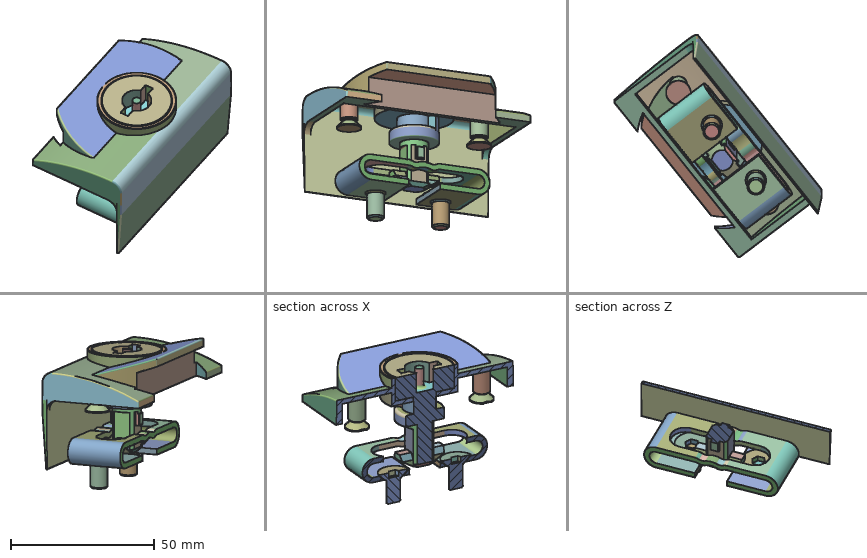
import cadquery as cq
import math


cover_front_x = -20.45
cover_back_x = 16.55
cover_half_width = 35.5
front_edge_height = 2.5
cover_top_z = 9.95
back_corner_radius = 3.9
edge_round = 0.5
wall = 1.9
end_wall = 2.5
end_draft = 0.6

skirt_bottom_z = -24.65
skirt_taper_start_z = -4.6
skirt_bottom_thickness = 0.6
gusset_radius = 3.7

nose_radius = 28.55
nose_top_z = 15.05
nose_lip_thickness = 3.05
nose_lip_root_z = 10.15
nose_end_x = 0.5
nose_wall_x = -14.85
slit_width = 1.4

collar_diameter = 27.7
collar_top_z = 13.05
collar_chamfer = 0.2
knob_seat_z = 4.25
boss_diameter = 6.2
boss_bottom_z = -1.35
boss_chamfer = 0.2
boss_y = 25.0

knob_diameter = 24.8
knob_chamfer = 0.3
neck_diameter = 12.0
key_recess_diameter = 10.2
key_recess_depth = 7.45
key_slot_width = 3.05
key_slot_length = 16.05
key_post_diameter = 3.0
key_post_fillet = 1.1
flange_diameter = 17.55
flange_top_z = -2.2
flange_bottom_z = -6.7
flange_top_round = 1.0
flange_bottom_round = 0.35
stop_width = 3.0
stop_angle = 225.0
shaft_diameter = 10.1
shaft_flats = 8.2
shaft_flats_top_z = -8.6
shaft_flats_fillet = 0.3
shaft_bottom_z = -21.8
ear_width = 3.05
ear_span = 11.1
ear_top_z = -9.4
ear_bottom_z = -13.55
ear_chamfer = 0.3
lock_length = 17.75
lock_half_width = 3.0
lock_top_z = -17.9
lock_shoulder_z = -20.15
lock_tip_z = -23.35
lock_tip_diameter = 7.4
lock_ramp_width = 1.4

clip_front_x = -8.7
clip_back_x = 11.3
clip_top_z = -15.75
clip_height = 9.2
clip_length = 50.2
clip_thickness = 2.05
clip_gap = 12.1
wave_half_length = 5.8
wave_shoulder_y = 4.4
wave_shoulder_depth = 0.4
wave_valley_y = 3.3
wave_depth = 0.65
wave_crest_half_length = 2.05
wave_crest_drop = 0.35
clip_slot_width = 10.65
clip_slot_length = 36.8

clip_screw_x = 5.05
clip_screw_y = 12.5
clip_screw_diameter = 6.1
clip_screw_head_diameter = 12.2
clip_screw_head_rise = 0.4
clip_screw_bottom_z = -34.4
clip_screw_tip_chamfer = 0.6
hex_across_flats = 4.3
hex_depth = 2.0

cover_screw_diameter = 4.3
cover_screw_head_diameter = 8.6
cover_screw_rim = 0.4
cover_screw_head_bottom_z = -4.4
cover_screw_top_z = 4.25

margin = 0.7
tiny = 0.1

arc_end_x = cover_back_x - back_corner_radius
arc_run = arc_end_x - cover_front_x
arc_drop = cover_top_z - front_edge_height
roof_radius = (arc_run**2 + arc_drop**2) / (2 * arc_drop)
roof_center_z = cover_top_z - roof_radius
skirt_inner_x = cover_back_x - wall
collar_bottom_z = knob_seat_z - wall
stop_bottom_z = flange_top_z - flange_top_round
clip_bottom_z = clip_top_z - clip_height
clip_screw_top_z = clip_bottom_z + clip_thickness + clip_screw_head_rise


def roof_z(x, inset=0.0):
    """Height of the arched roof at x, moved inwards by inset."""
    return roof_center_z + math.sqrt((roof_radius - inset) ** 2 - (x - arc_end_x) ** 2)


def cylinder(diameter, bottom_z, top_z, x=0.0, y=0.0):
    """Upright cylinder between two heights."""
    disc = cq.Workplane("XY", origin=(x, y, bottom_z)).circle(diameter / 2)
    return disc.extrude(top_z - bottom_z)


def block(x_min, x_max, y_min, y_max, z_min, z_max):
    """Box between its limits on each axis."""
    size = (x_max - x_min, y_max - y_min, z_max - z_min)
    return cq.Workplane("XY").box(*size, centered=False).translate((x_min, y_min, z_min))


def roof_outline(front_x, back_x, bottom_z, inset):
    """XZ outline under the arched roof, with the rounded back corner, down to bottom_z."""
    corner = back_corner_radius - inset
    top_z = cover_top_z - inset
    middle_x = (front_x + arc_end_x) / 2
    diagonal = corner * math.sqrt(0.5)
    corner_middle = (arc_end_x + diagonal, top_z - corner + diagonal)
    return (
        cq.Workplane("XZ")
        .moveTo(front_x, bottom_z)
        .lineTo(front_x, roof_z(front_x, inset))
        .threePointArc((middle_x, roof_z(middle_x, inset)), (arc_end_x, top_z))
        .threePointArc(corner_middle, (back_x, top_z - corner))
    )


def mirrored_pair(shape):
    """A shape together with its mirror image across the XZ plane."""
    return shape.union(shape.mirror("XZ"))


def drafted_envelope():
    """Block across the whole cover with its end faces drafted away from the rim level."""
    slope = math.tan(math.radians(end_draft))
    top_half_width = cover_half_width - slope * nose_top_z
    bottom_half_width = cover_half_width + slope * skirt_bottom_z
    return (
        cq.Workplane("YZ")
        .polyline([
            (-top_half_width, nose_top_z),
            (top_half_width, nose_top_z),
            (cover_half_width, 0),
            (bottom_half_width, skirt_bottom_z),
            (-bottom_half_width, skirt_bottom_z),
            (-cover_half_width, 0),
        ])
        .close()
        .extrude(cover_back_x - cover_front_x, both=True)
    )


def rounded_edges():
    """Selector for the upper front edge and the outer edges of the two ends."""
    box = cq.selectors.BoxSelector
    front_x = cover_front_x - margin
    back_x = cover_back_x + margin
    skirt_middle_x = (skirt_inner_x + cover_back_x) / 2
    y_out = cover_half_width + margin
    y_in = cover_half_width - end_wall
    selector = box((front_x, -margin, tiny), (cover_front_x + margin, margin, cover_top_z))
    for y_low, y_high in ((-y_out, -y_in), (y_in, y_out)):
        above_rim = box((front_x, y_low, tiny), (back_x, y_high, cover_top_z))
        down_skirt = box((skirt_middle_x + tiny, y_low, skirt_bottom_z), (back_x, y_high, -tiny))
        selector = selector + above_rim + down_skirt
    return selector


def cover_shell():
    """Arched roof and tapering skirt, hollowed from below between the end walls."""
    shell = (
        roof_outline(cover_front_x, cover_back_x, 0, 0)
        .lineTo(cover_back_x, skirt_taper_start_z)
        .lineTo(skirt_inner_x + skirt_bottom_thickness, skirt_bottom_z)
        .lineTo(skirt_inner_x, skirt_bottom_z)
        .lineTo(skirt_inner_x, 0)
        .close()
        .extrude(cover_half_width, both=True)
    )
    shell = shell.intersect(drafted_envelope())
    shell = shell.edges(rounded_edges()).fillet(edge_round)
    cavity = (
        roof_outline(nose_wall_x + wall, skirt_inner_x, 0, wall)
        .lineTo(skirt_inner_x, 0)
        .close()
        .extrude(cover_half_width - end_wall, both=True)
    )
    return shell.cut(cavity)


def skirt_gusset():
    """Concave gusset between an end wall and the skirt."""
    start_x = skirt_inner_x - gusset_radius
    diagonal = gusset_radius * math.sqrt(0.5)
    return (
        cq.Workplane("XZ", origin=(0, -cover_half_width + end_wall, 0))
        .moveTo(start_x, 0)
        .threePointArc((start_x + diagonal, diagonal - gusset_radius), (skirt_inner_x, -gusset_radius))
        .lineTo(skirt_inner_x, 0)
        .close()
        .extrude(end_wall)
    )


def nose():
    """Flat sloping top with a circular outline, overhanging its front wall as a lip."""
    slope = (roof_z(nose_end_x) - nose_top_z) / (nose_end_x - cover_front_x)
    lip_bottom_z = nose_top_z - nose_lip_thickness
    side_profile = (
        cq.Workplane("XZ")
        .moveTo(cover_front_x, nose_top_z)
        .lineTo(cover_front_x, lip_bottom_z)
        .lineTo(nose_wall_x, nose_lip_root_z)
        .lineTo(nose_wall_x, roof_z(nose_wall_x) - wall)
        .lineTo(nose_end_x, roof_z(nose_end_x) - wall)
        .lineTo(nose_end_x, roof_z(nose_end_x))
        .close()
        .extrude(nose_radius, both=True)
    )
    body = side_profile.intersect(cylinder(2 * nose_radius, 0, nose_top_z))
    top_face = cq.selectors.DirectionMinMaxSelector(cq.Vector(-slope, 0, 1), True)
    corners = body.edges("<X").edges("|Z")
    return body.faces(top_face).edges("not >X").add(corners).fillet(edge_round)


def make_cover():
    opening = cylinder(2 * (nose_radius + slit_width), -margin, nose_top_z)
    ahead_of_wall = block(
        cover_front_x - margin, nose_wall_x, -cover_half_width, cover_half_width, -margin, nose_top_z
    )
    cover = cover_shell().cut(opening.intersect(ahead_of_wall))
    cover = cover.union(mirrored_pair(skirt_gusset())).union(nose())

    collar = cylinder(collar_diameter, collar_bottom_z, collar_top_z)
    cover = cover.union(collar.faces(">Z").edges().chamfer(collar_chamfer))
    cover = cover.cut(cylinder(knob_diameter, knob_seat_z, nose_top_z))
    cover = cover.cut(cylinder(neck_diameter, 0, nose_top_z))

    for y in (-boss_y, boss_y):
        boss = cylinder(boss_diameter, boss_bottom_z, roof_z(0) - wall / 2, y=y)
        cover = cover.union(boss.faces("<Z").edges().chamfer(boss_chamfer))
        cover = cover.cut(cylinder(cover_screw_diameter, boss_bottom_z, cover_screw_top_z, y=y))
    return cover


def key_recess():
    """Round recess with two slots, leaving a post on the axis."""
    floor_z = collar_top_z - key_recess_depth
    post_radius = key_post_diameter / 2
    recess = (
        cq.Workplane("XZ")
        .moveTo(post_radius, collar_top_z)
        .lineTo(post_radius, floor_z + key_post_fillet)
        .radiusArc((post_radius + key_post_fillet, floor_z), -key_post_fillet)
        .lineTo(key_recess_diameter / 2, floor_z)
        .lineTo(key_recess_diameter / 2, collar_top_z)
        .close()
        .revolve(360, (0, 0, 0), (0, 1, 0))
    )
    slots = block(
        -key_slot_width / 2, key_slot_width / 2,
        -key_slot_length / 2, key_slot_length / 2,
        floor_z, collar_top_z,
    )
    return recess.union(slots.cut(cylinder(key_recess_diameter, floor_z, collar_top_z)))


def stop_tab():
    """Radial stop standing on the flange."""
    tab = block(0, flange_diameter, -stop_width / 2, stop_width / 2, stop_bottom_z, collar_bottom_z)
    tab = tab.rotate((0, 0, 0), (0, 0, 1), stop_angle)
    return tab.intersect(cylinder(flange_diameter, stop_bottom_z, collar_bottom_z))


def shaft():
    """Round shaft with four flats and an ear on the two X sides."""
    flat_half = shaft_flats / 2
    round_part = cylinder(shaft_diameter, shaft_flats_top_z, flange_bottom_z)
    flatted_part = cylinder(shaft_diameter, shaft_bottom_z, shaft_flats_top_z).intersect(
        block(-flat_half, flat_half, -flat_half, flat_half, shaft_bottom_z, shaft_flats_top_z)
    )
    ear_half = ear_width / 2
    ear_roots = cylinder(shaft_diameter, ear_top_z, shaft_flats_top_z).intersect(
        block(-ear_span / 2, ear_span / 2, -ear_half, ear_half, ear_top_z, shaft_flats_top_z)
    )
    ears = block(-ear_span / 2, ear_span / 2, -ear_half, ear_half, ear_bottom_z, ear_top_z)
    ears = ears.faces("<X or >X").edges("|Z or <Z").chamfer(ear_chamfer)
    core = round_part.union(flatted_part)
    at_shoulder = cq.selectors.BoxSelector(
        (-flat_half - tiny, -flat_half - tiny, shaft_flats_top_z - tiny),
        (flat_half + tiny, flat_half + tiny, shaft_flats_top_z + tiny),
    )
    core = core.edges(at_shoulder).edges("%LINE").fillet(shaft_flats_fillet)
    return core.union(ear_roots).union(ears)


def lock_bar():
    """Cross bar at the shaft's end, tapering downwards and ramped along its upper edges."""
    turned = (
        cq.Workplane("XZ")
        .moveTo(0, lock_top_z)
        .lineTo(lock_length / 2, lock_top_z)
        .lineTo(lock_length / 2, lock_shoulder_z)
        .lineTo(lock_tip_diameter / 2, lock_tip_z)
        .lineTo(0, lock_tip_z)
        .close()
        .revolve(360, (0, 0, 0), (0, 1, 0))
    )
    flat_half = shaft_flats / 2
    ridge_half = lock_half_width - lock_ramp_width
    bar_section = (
        cq.Workplane("XZ")
        .polyline([
            (-ridge_half, lock_top_z),
            (ridge_half, lock_top_z),
            (lock_half_width, lock_shoulder_z),
            (lock_half_width, lock_tip_z),
            (-lock_half_width, lock_tip_z),
            (-lock_half_width, lock_shoulder_z),
        ])
        .close()
        .extrude(lock_length, both=True)
    )
    tip = (
        cq.Workplane("XY", origin=(0, 0, shaft_bottom_z))
        .rect(2 * flat_half, 2 * flat_half)
        .workplane(offset=lock_tip_z - shaft_bottom_z)
        .rect(2 * lock_half_width, 2 * flat_half)
        .loft()
    )
    return turned.intersect(bar_section.union(tip))


def make_knob():
    head = cylinder(knob_diameter, knob_seat_z, collar_top_z).faces(">Z").edges().chamfer(knob_chamfer)
    neck = cylinder(neck_diameter, flange_top_z, knob_seat_z)
    flange = cylinder(flange_diameter, flange_bottom_z, flange_top_z)
    flange = flange.faces(">Z").edges().fillet(flange_top_round)
    flange = flange.faces("<Z").edges().fillet(flange_bottom_round)
    knob = head.union(neck).union(flange).cut(key_recess())
    return knob.union(stop_tab()).union(shaft()).union(lock_bar())


def add_wave(outline, z, direction):
    """Add a crest between two valleys to an outline that runs along Y at height z."""
    shoulder_middle = ((wave_half_length + wave_shoulder_y) / 2, z - wave_shoulder_depth / 3)
    shoulder_end = (wave_shoulder_y, z - wave_shoulder_depth)
    valley = (wave_valley_y, z - wave_depth)
    crest_start = (wave_crest_half_length, z - wave_crest_drop)
    crest = (0, z)
    end = (wave_half_length, z)

    def before(point):
        return (-direction * point[0], point[1])

    def after(point):
        return (direction * point[0], point[1])

    return (
        outline.threePointArc(before(shoulder_middle), before(shoulder_end))
        .threePointArc(before(valley), before(crest_start))
        .threePointArc(crest, after(crest_start))
        .threePointArc(after(valley), after(shoulder_end))
        .threePointArc(after(shoulder_middle), after(end))
    )


def clip_strip_outline():
    """YZ outline of the strip bent into a flat C that is open at the bottom."""
    outer_radius = clip_height / 2
    inner_radius = outer_radius - clip_thickness
    bend_y = clip_length / 2 - outer_radius
    middle_z = clip_top_z - outer_radius
    inner_top_z = clip_top_z - clip_thickness
    inner_bottom_z = clip_bottom_z + clip_thickness
    gap_y = clip_gap / 2
    outline = (
        cq.Workplane("YZ", origin=(clip_front_x, 0, 0))
        .moveTo(-gap_y, clip_bottom_z)
        .lineTo(-bend_y, clip_bottom_z)
        .threePointArc((-bend_y - outer_radius, middle_z), (-bend_y, clip_top_z))
        .lineTo(-wave_half_length, clip_top_z)
    )
    outline = add_wave(outline, clip_top_z, 1)
    outline = (
        outline.lineTo(bend_y, clip_top_z)
        .threePointArc((bend_y + outer_radius, middle_z), (bend_y, clip_bottom_z))
        .lineTo(gap_y, clip_bottom_z)
        .lineTo(gap_y, inner_bottom_z)
        .lineTo(bend_y, inner_bottom_z)
        .threePointArc((bend_y + inner_radius, middle_z), (bend_y, inner_top_z))
        .lineTo(wave_half_length, inner_top_z)
    )
    outline = add_wave(outline, inner_top_z, -1)
    return (
        outline.lineTo(-bend_y, inner_top_z)
        .threePointArc((-bend_y - inner_radius, middle_z), (-bend_y, inner_bottom_z))
        .lineTo(-gap_y, inner_bottom_z)
        .close()
    )


def make_clip():
    clip = clip_strip_outline().extrude(clip_back_x - clip_front_x)
    slot = (
        cq.Workplane("XY", origin=(0, 0, clip_top_z))
        .slot2D(clip_slot_length, clip_slot_width, 90)
        .extrude(-clip_height / 2)
    )
    clip = clip.cut(slot)
    for y in (-clip_screw_y, clip_screw_y):
        clip = clip.cut(clip_screw_blank(y))
    return clip


def clip_screw_blank(y):
    """Countersunk screw without its socket; also the shape of its hole."""
    head_radius = clip_screw_head_diameter / 2
    shank_radius = clip_screw_diameter / 2
    return (
        cq.Workplane("XZ")
        .moveTo(0, clip_screw_top_z)
        .lineTo(head_radius, clip_screw_top_z)
        .lineTo(shank_radius, clip_screw_top_z - (head_radius - shank_radius))
        .lineTo(shank_radius, clip_screw_bottom_z + clip_screw_tip_chamfer)
        .lineTo(shank_radius - clip_screw_tip_chamfer, clip_screw_bottom_z)
        .lineTo(0, clip_screw_bottom_z)
        .close()
        .revolve(360, (0, 0, 0), (0, 1, 0))
        .translate((clip_screw_x, y, 0))
    )


def make_clip_screw(y):
    socket = (
        cq.Workplane("XY", origin=(clip_screw_x, y, clip_screw_top_z))
        .polygon(6, hex_across_flats, circumscribed=True)
        .extrude(-hex_depth)
    )
    return clip_screw_blank(y).cut(socket)


def make_cover_screw(y):
    head_radius = cover_screw_head_diameter / 2
    shank_radius = cover_screw_diameter / 2
    cone_base_z = cover_screw_head_bottom_z + cover_screw_rim
    return (
        cq.Workplane("XZ")
        .moveTo(0, cover_screw_head_bottom_z)
        .lineTo(head_radius, cover_screw_head_bottom_z)
        .lineTo(head_radius, cone_base_z)
        .lineTo(shank_radius, cone_base_z + head_radius - shank_radius)
        .lineTo(shank_radius, cover_screw_top_z)
        .lineTo(0, cover_screw_top_z)
        .close()
        .revolve(360, (0, 0, 0), (0, 1, 0))
        .translate((0, y, 0))
    )


cover = make_cover()
knob = make_knob()
clip = make_clip()
clip_screws = [make_clip_screw(y) for y in (-clip_screw_y, clip_screw_y)]
cover_screws = [make_cover_screw(y) for y in (-boss_y, boss_y)]

result = cq.Compound.makeCompound([
    cover.val(),
    knob.val(),
    clip.val(),
    *[screw.val() for screw in clip_screws],
    *[screw.val() for screw in cover_screws],
])